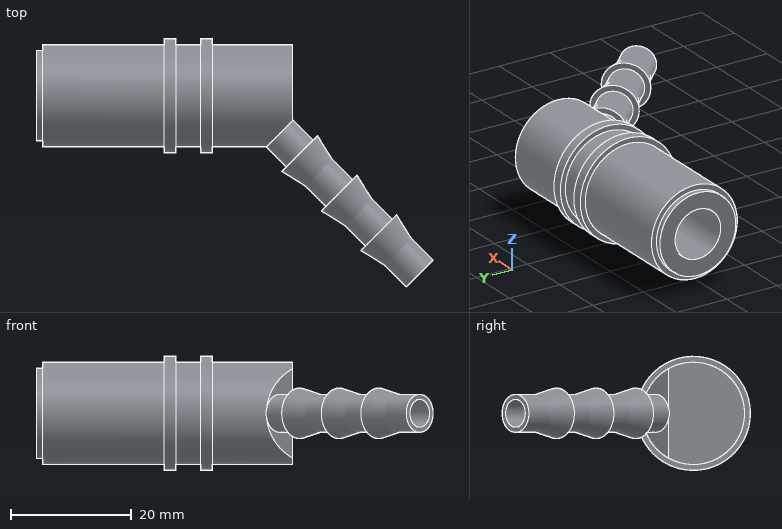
import cadquery as cq
import math

BARREL_DIAMETER = 17.0
BARREL_LENGTH = 42.55
SPIGOT_DIAMETER = 15.0
SPIGOT_LENGTH = 1.05
SOCKET_DIAMETER = 9.0
SOCKET_DEPTH = 19.75

RING_DIAMETER = 19.0
RING_WIDTH = 2.0
FIRST_RING_X = 21.2
RING_PITCH = 6.05
RING_COUNT = 2

TAIL_ANGLE = -45.0
ELBOW_X = 34.1
TAIL_DIAMETER = 6.3
TAIL_LENGTH = 32.9
SEAT_DISTANCE = 8.9
PASSAGE_DIAMETER = 4.6

BARB_DIAMETER = 8.4
BARB_LENGTH = 4.55
FIRST_BARB_OFFSET = 4.7
BARB_PITCH = 9.3
BARB_COUNT = 3

TAIL_X = math.cos(math.radians(TAIL_ANGLE))
TAIL_Y = math.sin(math.radians(TAIL_ANGLE))


def tail_plane(distance):
    """Plane square to the tail axis, at a distance from the elbow; its normal points to the tip."""
    origin = (ELBOW_X + distance * TAIL_X, distance * TAIL_Y, 0)
    return cq.Plane(origin=origin, xDir=(0, 0, 1), normal=(TAIL_X, TAIL_Y, 0))


def make_barrel():
    """Stepped cylinder whose closed end is cut off square to the hose tail on the -Y side."""
    barrel = (
        cq.Workplane("YZ")
        .circle(SPIGOT_DIAMETER / 2)
        .extrude(SPIGOT_LENGTH)
        .faces(">X")
        .workplane()
        .circle(BARREL_DIAMETER / 2)
        .extrude(BARREL_LENGTH - SPIGOT_LENGTH)
    )
    removed_corner = (
        cq.Workplane(tail_plane(SEAT_DISTANCE))
        .rect(2 * BARREL_LENGTH, 2 * BARREL_LENGTH)
        .extrude(BARREL_LENGTH)
    )
    return barrel.cut(removed_corner)


def make_hose_tail():
    """Tube blank, starting inside the barrel, with barbs that taper toward the tip."""
    tail = (
        cq.Workplane(tail_plane(0))
        .circle(TAIL_DIAMETER / 2)
        .extrude(SEAT_DISTANCE + TAIL_LENGTH)
    )
    for index in range(BARB_COUNT):
        barb_start = SEAT_DISTANCE + FIRST_BARB_OFFSET + index * BARB_PITCH
        barb = (
            cq.Workplane(tail_plane(barb_start))
            .circle(BARB_DIAMETER / 2)
            .workplane(offset=BARB_LENGTH)
            .circle(TAIL_DIAMETER / 2)
            .loft(ruled=True)
        )
        tail = tail.union(barb)
    return tail


def make_socket():
    """Cutter for the blind bore in the open end."""
    return cq.Workplane("YZ").circle(SOCKET_DIAMETER / 2).extrude(SOCKET_DEPTH)


def make_passage():
    """Cutter for the mitred passage from the open end, round the elbow and out of the tip."""
    tip = tail_plane(SEAT_DISTANCE + TAIL_LENGTH).origin
    path = cq.Workplane("XY").polyline([(0, 0), (ELBOW_X, 0), (tip.x, tip.y)])
    return cq.Workplane("YZ").circle(PASSAGE_DIAMETER / 2).sweep(path, transition="right")


def make_fitting():
    """Barrel and hose tail in one piece, with the socket and the passage cut through it."""
    return make_barrel().union(make_hose_tail()).cut(make_socket()).cut(make_passage())


def make_ring(start_x):
    """Flat ring that fits closely around the barrel."""
    return (
        cq.Workplane("YZ", origin=(start_x, 0, 0))
        .circle(RING_DIAMETER / 2)
        .circle(BARREL_DIAMETER / 2)
        .extrude(RING_WIDTH)
    )


fitting = make_fitting()
rings = [make_ring(FIRST_RING_X + index * RING_PITCH) for index in range(RING_COUNT)]

result = cq.Compound.makeCompound([fitting.solids().val(), *[ring.val() for ring in rings]])